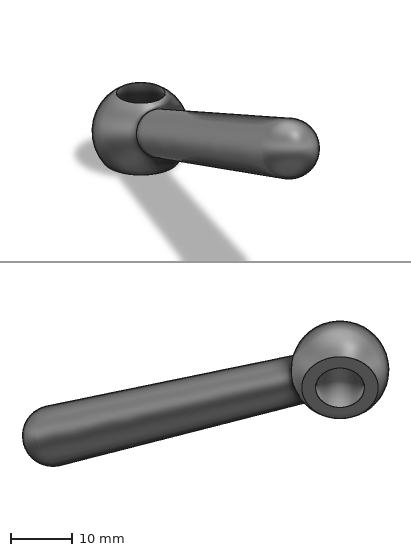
import cadquery as cq
import math

overall_length = 67.5
ball_diameter = 16.0
bore_diameter = 7.95
base_drop = 5.0
handle_tilt = 20.0
neck_diameter = 7.95
tip_diameter = 10.0

ball_radius = ball_diameter / 2
neck_radius = neck_diameter / 2
tip_radius = tip_diameter / 2
tip_reach = overall_length - ball_radius - tip_radius
tip_distance = tip_reach / math.cos(math.radians(handle_tilt))
neck_distance = math.sqrt(ball_radius**2 - neck_radius**2)


def make_ball():
    """Ball centred on the origin, cut flat underneath."""
    below_base = cq.Workplane("XY").workplane(offset=-base_drop).rect(
        2 * ball_diameter, 2 * ball_diameter
    ).extrude(-ball_diameter)
    return cq.Workplane("XY").sphere(ball_radius).cut(below_base)


def make_handle():
    """Tapered handle with a round tip, revolved about X and then tilted up."""
    profile = (
        cq.Workplane("XY")
        .lineTo(0, neck_radius)
        .lineTo(neck_distance, neck_radius)
        .lineTo(tip_distance, tip_radius)
        .radiusArc((tip_distance + tip_radius, 0), tip_radius)
        .close()
    )
    handle = profile.revolve(360, (0, 0, 0), (1, 0, 0))
    return handle.rotate((0, 0, 0), (0, 1, 0), -handle_tilt)


def make_bore():
    """Vertical through bore for the ball."""
    return cq.Workplane("XY").circle(bore_diameter / 2).extrude(ball_diameter, both=True)


result = make_ball().union(make_handle()).cut(make_bore())